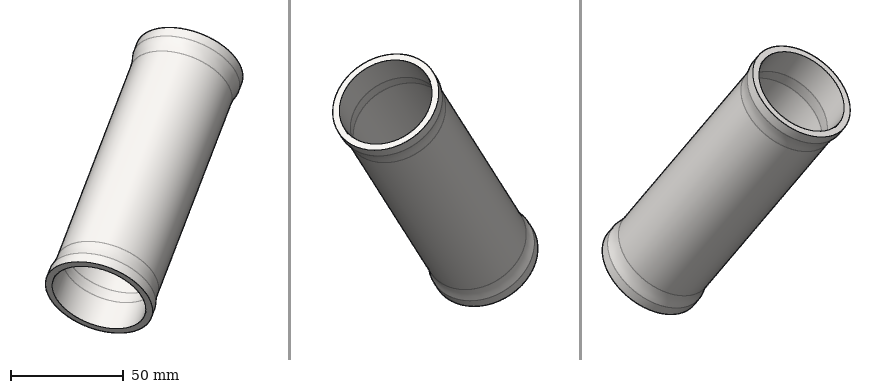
import cadquery as cq

length = 135.0
collar_radius = 50.0 / 2
body_radius = 47.7 / 2

collar_length = 5.0
flare_length = 7.7

land_radius = 43.6 / 2
relief_radius = 45.2 / 2
land_length = 15.0
cone_length = 6.2

half_length = length / 2
collar_end = half_length - collar_length
flare_end = collar_end - flare_length
land_end = half_length - land_length
cone_end = land_end - cone_length

flare_rise = collar_radius - body_radius
flare_radius = (flare_length**2 + flare_rise**2) / (2 * flare_rise)

section = (
    cq.Workplane("XY")
    .moveTo(collar_radius, -half_length)
    .lineTo(collar_radius, -collar_end)
    .radiusArc((body_radius, -flare_end), flare_radius)
    .lineTo(body_radius, flare_end)
    .radiusArc((collar_radius, collar_end), flare_radius)
    .lineTo(collar_radius, half_length)
    .lineTo(land_radius, half_length)
    .lineTo(land_radius, land_end)
    .lineTo(relief_radius, cone_end)
    .lineTo(relief_radius, -cone_end)
    .lineTo(land_radius, -land_end)
    .lineTo(land_radius, -half_length)
    .close()
)

result = section.revolve(360, (0, 0, 0), (0, 1, 0))